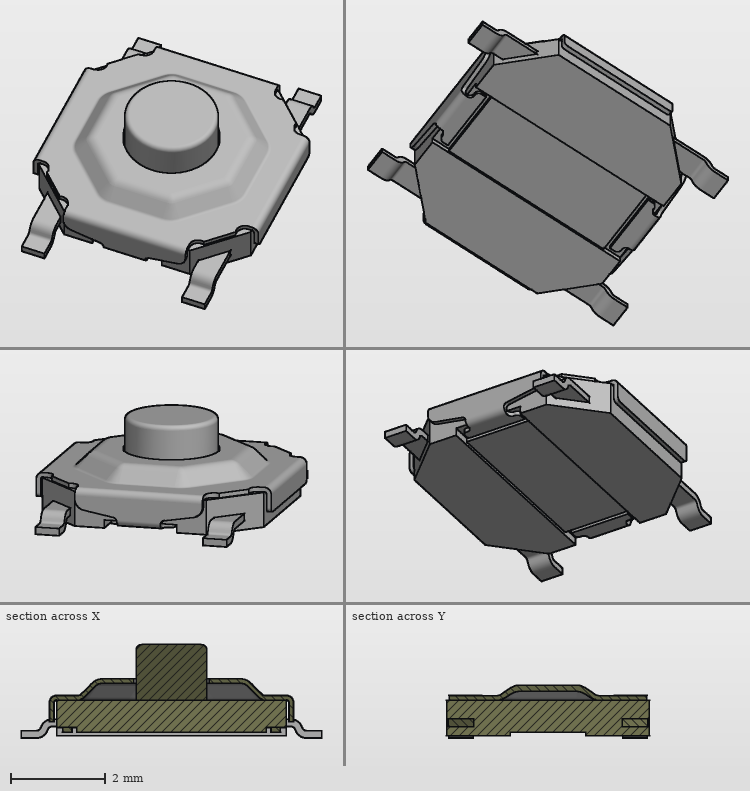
import cadquery as cq
import math


base_half = 2.445
base_height = 0.76
base_chamfer = 0.99
channel_half_width = 0.8
notch_height = 0.18

sheet = 0.1
bend_inner = 0.05
bend_outer = bend_inner + sheet
cover_half = base_half + bend_outer
plate_top = base_height + sheet
plate_corner_inset = 0.04
relief_radius = 0.2
relief_depth = 0.275

tab_half_width = 1.41
side_tab_bottom = 0.315
side_tab_radius = 0.1
clasp_shoulder = 0.435
clasp_slope = 10.0
clasp_corner_radius = 0.23
neck_half_width = 0.48
neck_radius = 0.1
hook_half_width = 0.705
hook_corner_radius = 0.1
hook_shoulder = 2.335
hook_tip = 2.11
hook_bottom = notch_height - sheet
notch_end_gap = 0.095

dome_top = 1.22
dome_sharp_half = 1.6
dome_top_radius = 0.3
dome_foot_radius = 0.1
dome_slope = 45.0
dome_sides = 8
hole_diameter = 2.06

button_diameter = 2.0
button_top = 1.95
button_fillet = 0.1

lead_width = 0.525
lead_thickness = 0.16
lead_spacing = 3.7
lead_end = 3.2
foot_bottom = -0.045
foot_bend_end = 2.87
arm_bottom = 0.2
lead_inner_end = base_half - base_chamfer
lead_bend_radius = 0.08
lead_angle = 64.0


def block(x_half, y_min, y_max, z_min, z_max):
    """Box centred on X with the given Y and Z limits."""
    return (
        cq.Workplane("XY")
        .box(2 * x_half, y_max - y_min, z_max - z_min)
        .translate((0, (y_min + y_max) / 2, (z_min + z_max) / 2))
    )


def chamfered_plate(half, corner, bottom, top):
    """Square plate with 45 degree corners."""
    return block(half, -half, half, bottom, top).edges("|Z").chamfer(corner)


def about_z(body, angle):
    return body.rotate((0, 0, 0), (0, 0, 1), angle)


def make_lead(x_side, y_side):
    """Gull-wing strip: flat arm in the base, S-bend, flat foot."""
    angle = math.radians(lead_angle)
    outer_radius = lead_bend_radius + lead_thickness
    radius_sum = lead_bend_radius + outer_radius
    drop = arm_bottom - foot_bottom
    slope_length = (drop - radius_sum * (1 - math.cos(angle))) / math.sin(angle)
    run = radius_sum * math.sin(angle) + slope_length * math.cos(angle)
    bend_start = foot_bend_end - run
    arm_top = arm_bottom + lead_thickness
    foot_top = foot_bottom + lead_thickness

    def arm_bend(radius, turn):
        """Point on the bend at the arm, after turning by the given angle."""
        centre_z = arm_bottom - lead_bend_radius
        return bend_start + radius * math.sin(turn), centre_z + radius * math.cos(turn)

    def foot_bend(radius, turn):
        """Point on the bend at the foot, with the given angle left to turn."""
        centre_z = foot_top + lead_bend_radius
        return foot_bend_end - radius * math.sin(turn), centre_z - radius * math.cos(turn)

    profile = (
        cq.Workplane("YZ")
        .moveTo(lead_inner_end, arm_top)
        .lineTo(bend_start, arm_top)
        .threePointArc(arm_bend(outer_radius, angle / 2), arm_bend(outer_radius, angle))
        .lineTo(*foot_bend(lead_bend_radius, angle))
        .threePointArc(foot_bend(lead_bend_radius, angle / 2), (foot_bend_end, foot_top))
        .lineTo(lead_end, foot_top)
        .lineTo(lead_end, foot_bottom)
        .lineTo(foot_bend_end, foot_bottom)
        .threePointArc(foot_bend(outer_radius, angle / 2), foot_bend(outer_radius, angle))
        .lineTo(*arm_bend(lead_bend_radius, angle))
        .threePointArc(arm_bend(lead_bend_radius, angle / 2), (bend_start, arm_bottom))
        .lineTo(lead_inner_end, arm_bottom)
        .close()
    )
    lead = profile.extrude(lead_width / 2, both=True)
    if y_side < 0:
        lead = about_z(lead, 180)
    return lead.translate((x_side * lead_spacing / 2, 0, 0))


def make_base(leads):
    base = chamfered_plate(base_half, base_chamfer, 0, base_height)
    base = base.cut(block(channel_half_width, -base_half, base_half, 0, hook_bottom))
    notch = block(channel_half_width, hook_tip - notch_end_gap, base_half, 0, notch_height)
    for angle in (0, 180):
        base = base.cut(about_z(notch, angle))
    for lead in leads:
        base = base.cut(lead)
    return base


def dome_solid(depth):
    """Solid bounded by the dome surface lying the given depth below its outer surface."""
    top = dome_top - depth
    foot = plate_top - depth
    top_radius = dome_top_radius - depth
    foot_radius = dome_foot_radius + depth
    slope = math.radians(dome_slope)
    half_turn = slope / 2

    flat_half = dome_sharp_half - dome_top_radius * math.tan(half_turn)
    foot_sharp = dome_sharp_half + (dome_top - plate_top) / math.tan(slope)
    foot_reach = foot_sharp + dome_foot_radius * math.tan(half_turn) - flat_half

    def top_bend(turn):
        return top_radius * math.sin(turn), top - top_radius * (1 - math.cos(turn))

    def foot_bend(turn):
        return foot_reach - foot_radius * math.sin(turn), foot + foot_radius * (1 - math.cos(turn))

    def flank(plane):
        """Dome section outward from the edge of its flat top."""
        return (
            cq.Workplane(plane)
            .moveTo(0, top)
            .threePointArc(top_bend(half_turn), top_bend(slope))
            .lineTo(*foot_bend(slope))
            .threePointArc(foot_bend(half_turn), (foot_reach, foot))
            .lineTo(0, foot)
            .close()
        )

    half_side = flat_half * math.tan(math.pi / dome_sides)
    vertex_radius = math.hypot(flat_half, half_side)
    step = 360 / dome_sides
    edge = flank("YZ").extrude(half_side, both=True).translate((0, flat_half, 0))
    vertex = flank("XZ").revolve(step, (0, 0, 0), (0, 1, 0))
    vertex = about_z(vertex, 90 - step).translate((half_side, flat_half, 0))

    dome = (
        cq.Workplane("XY")
        .workplane(offset=foot)
        .polygon(dome_sides, 2 * vertex_radius)
        .extrude(top - foot)
    )
    dome = about_z(dome, step / 2)
    for index in range(dome_sides):
        dome = dome.union(about_z(edge, index * step))
        dome = dome.union(about_z(vertex, index * step))
    return dome


def folded_strip(bottom, bottom_is_bent):
    """Sheet strip running from the plate over the +Y bend and down, optionally bent back under."""
    bends = "|X and >Y" if bottom_is_bent else "|X and >Y and >Z"
    inner_bottom = bottom + sheet if bottom_is_bent else bottom
    outside = block(tab_half_width, hook_tip, cover_half, bottom, plate_top)
    inside = block(tab_half_width, hook_tip, cover_half - sheet, inner_bottom, base_height)
    return outside.edges(bends).fillet(bend_outer).cut(inside.edges(bends).fillet(bend_inner))


def make_side_tab():
    """Plain tab with rounded lower corners, facing +Y."""
    tab = folded_strip(side_tab_bottom, False)
    return tab.edges("|Y and <Z").fillet(side_tab_radius)


def make_clasp():
    """Tab that narrows to a neck and hooks into a notch under the base, facing +Y."""
    neck_drop = (tab_half_width - neck_half_width) * math.tan(math.radians(clasp_slope))
    neck_top = clasp_shoulder - neck_drop
    outline = (
        cq.Workplane("XZ")
        .polyline([
            (-tab_half_width, plate_top),
            (tab_half_width, plate_top),
            (tab_half_width, clasp_shoulder),
            (neck_half_width, neck_top),
            (neck_half_width, hook_bottom),
            (-neck_half_width, hook_bottom),
            (-neck_half_width, neck_top),
            (-tab_half_width, clasp_shoulder),
        ])
        .close()
        .extrude(-cover_half)
    )
    outline = outline.edges("|Y and (>X or <X) and (not >Z)").fillet(clasp_corner_radius)
    outline = outline.edges("|Y").edges("not (>X or <X or >Z or <Z)").fillet(neck_radius)

    hook = block(hook_half_width, hook_tip, hook_shoulder, hook_bottom, notch_height)
    hook = hook.union(block(neck_half_width, hook_tip, base_half, hook_bottom, notch_height))
    hook = hook.edges("|Z and (>X or <X) and (not <Y)").fillet(hook_corner_radius)
    hook = hook.edges("|Z").edges("not (>X or <X or >Y or <Y)").fillet(neck_radius)
    return folded_strip(hook_bottom, True).intersect(outline).union(hook)


def make_cover():
    corner = base_chamfer + plate_corner_inset * math.sqrt(2)
    cover = chamfered_plate(base_half, corner, base_height, plate_top)

    centre_x = tab_half_width + relief_radius
    centre_y = base_half - relief_depth + relief_radius
    relief = (
        cq.Workplane("XY")
        .workplane(offset=base_height)
        .center(centre_x, centre_y)
        .circle(relief_radius)
        .extrude(sheet)
    )
    mouth = block(relief_radius, centre_y, base_half, base_height, plate_top)
    relief = relief.union(mouth.translate((centre_x, 0, 0)))
    for angle in (0, 90, 180, 270):
        cover = cover.cut(about_z(relief, angle))
        cover = cover.cut(about_z(relief.mirror("YZ"), angle))

    side_tab = make_side_tab()
    clasp = make_clasp()
    for angle in (0, 180):
        cover = cover.union(about_z(clasp, angle))
        cover = cover.union(about_z(side_tab, angle + 90))

    cover = cover.union(dome_solid(0)).cut(dome_solid(sheet))
    hole = cq.Workplane("XY").circle(hole_diameter / 2).extrude(button_top)
    return cover.cut(hole)


def make_button():
    """Round plunger standing on the base, with a rounded top edge."""
    button = (
        cq.Workplane("XY")
        .workplane(offset=base_height)
        .circle(button_diameter / 2)
        .extrude(button_top - base_height)
    )
    return button.faces(">Z").edges().fillet(button_fillet)


leads = [make_lead(x_side, y_side) for x_side in (-1, 1) for y_side in (-1, 1)]
base = make_base(leads)
cover = make_cover()
button = make_button()

result = cq.Compound.makeCompound(
    [body.solids().val() for body in (base, cover, button, *leads)]
)